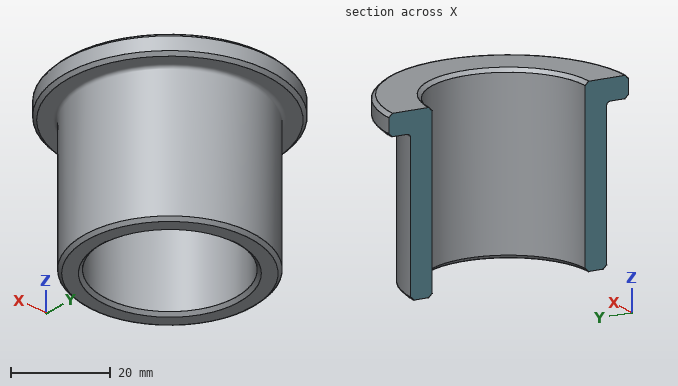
import cadquery as cq

flange_diameter = 55.0
flange_thickness = 5.0
body_diameter = 45.0
bore_diameter = 35.0
total_height = 40.0
edge_chamfer = 0.8
neck_fillet = 0.8

body_height = total_height - flange_thickness


def make_body():
    body = cq.Workplane("XY").circle(body_diameter / 2).extrude(body_height)
    return body.faces("<Z").edges().chamfer(edge_chamfer)


def make_flange():
    base = cq.Workplane("XY", origin=(0, 0, body_height))
    flange = base.circle(flange_diameter / 2).extrude(flange_thickness)
    return flange.edges("%CIRCLE").chamfer(edge_chamfer)


def fillet_neck(bushing):
    """Round the inner corner where the body meets the underside of the flange."""
    neck_radius = body_diameter / 2
    neck_ring = cq.selectors.RadiusNthSelector(0)
    underside = bushing.faces(cq.selectors.NearestToPointSelector((neck_radius + neck_fillet, 0, body_height)))
    return underside.edges(neck_ring).fillet(neck_fillet)


def cut_bore(bushing):
    """Bore straight through, with a chamfer at both mouths."""
    bored = bushing.faces(">Z").workplane().hole(bore_diameter)
    mouths = bored.faces("<Z or >Z").edges(cq.selectors.RadiusNthSelector(0))
    return mouths.chamfer(edge_chamfer)


result = cut_bore(fillet_neck(make_body().union(make_flange())))